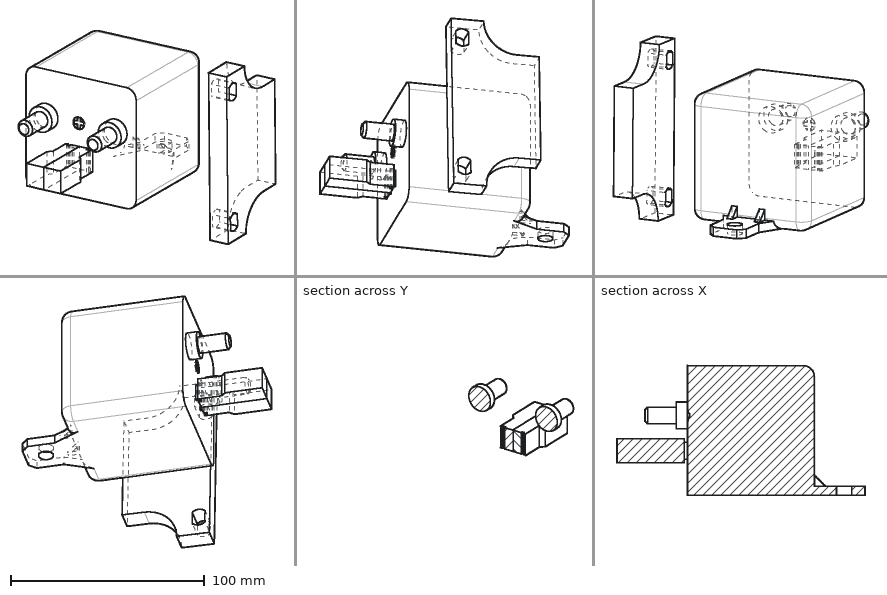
import cadquery as cq
import math


housing_width = 67.0
housing_depth = 65.6
housing_radius = 5.9

tab_reach = 26.1
tab_width = 20.6
tab_thickness = 4.7
tab_corner = 3.6
tab_straight_length = 18.0
tab_flare_width = 29.1
tab_hole_diameter = 7.7
tab_hole_inset = 10.9
rib_width = 3.1
rib_leg = 5.6
rib_offset = 8.0

terminal_offset = 21.0
terminal_height = 7.7
collar_diameter = 14.0
collar_length = 5.8
stud_diameter = 8.7
stud_reach = 21.9
stud_chamfer = 1.4

screw_offset = -1.5
screw_diameter = 6.7
screw_sink = 0.3
cross_width = 2.0
cross_depth = 0.8

blade_offset = 4.9
blade_thickness = 0.8
blade_height = 9.0
blade_length = 1.5
connector_level = -10.5
connector_height = 12.4
connector_length = 34.9
connector_half_width = tab_width / 2
connector_neck = 2.3
connector_wide_length = 19.7
notch_width = 1.4
notch_depth = 1.5

plate_thickness = 11.0
plate_inner_x = 71.3
plate_front_y = 10.8
plate_level = 0.8
plate_height = 93.2
plate_tilt = 0.9
ear_width = 17.4
plate_width = 46.7
slot_width = 6.8
slot_length = 9.6
slot_arch_rise = 1.5
slot_inset = 5.9
slot_end_margin = 5.5


def front_cylinder(x, z, diameter, y_back, length):
    """Cylinder that runs from y_back toward -Y."""
    plane = cq.Workplane("XZ", origin=(x, y_back, z))
    return plane.circle(diameter / 2).extrude(length)


def make_block():
    block = cq.Workplane("XY").box(housing_width, housing_depth, housing_width)
    block = block.edges("|Y or >Y").fillet(housing_radius)
    return block.translate((0, housing_depth / 2, 0))


def make_tab():
    """Flared tab, level with the underside, that runs in below the rounded back edge."""
    end_y = housing_depth + tab_reach
    flare_y = end_y - tab_straight_length
    root_y = housing_depth - housing_radius
    half = tab_width / 2
    flare_slope = (tab_flare_width / 2 - half) / (flare_y - housing_depth)
    root_half = half + flare_slope * (flare_y - root_y)
    tip_half = half - tab_corner
    right_side = [(root_half, root_y), (half, flare_y), (half, end_y - tab_corner), (tip_half, end_y)]
    left_side = [(-x, y) for x, y in reversed(right_side)]
    bottom = cq.Workplane("XY", origin=(0, 0, -housing_width / 2))
    tab = bottom.polyline(right_side + left_side).close().extrude(tab_thickness)
    hole = bottom.center(0, end_y - tab_hole_inset).circle(tab_hole_diameter / 2).extrude(tab_thickness)
    return tab.cut(hole)


def make_rib(x):
    """Triangular rib between the tab and the back wall, with its root inside the housing."""
    top = -housing_width / 2 + tab_thickness
    back = housing_depth
    inside = back - housing_radius
    outline = [(inside, top), (back + rib_leg, top), (back, top + rib_leg), (inside, top + rib_leg)]
    side = cq.Workplane("YZ", origin=(x - rib_width / 2, 0, 0))
    return side.polyline(outline).close().extrude(rib_width)


def make_terminal(x):
    collar = front_cylinder(x, terminal_height, collar_diameter, 0, collar_length)
    stud = front_cylinder(x, terminal_height, stud_diameter, 0, stud_reach)
    return collar.union(stud.faces("<Y").chamfer(stud_chamfer))


def make_blade(x):
    blade = cq.Workplane("XY").box(blade_thickness, blade_length, blade_height)
    return blade.translate((x, -blade_length / 2, connector_level))


def make_screw_recess():
    """Shallow round recess with a deeper cross bounded by the same circle."""
    def disc(depth):
        return front_cylinder(screw_offset, terminal_height, screw_diameter, depth, depth)

    depth = screw_sink + cross_depth
    upright = cq.Workplane("XY").box(cross_width, 2 * depth, screw_diameter)
    crossbar = cq.Workplane("XY").box(screw_diameter, 2 * depth, cross_width)
    cross = upright.union(crossbar).translate((screw_offset, 0, terminal_height))
    return disc(screw_sink).union(disc(depth).intersect(cross))


def make_housing():
    housing = make_block().union(make_tab())
    for side in (-1, 1):
        housing = housing.union(make_rib(side * rib_offset))
        housing = housing.union(make_terminal(side * terminal_offset))
        housing = housing.union(make_blade(side * blade_offset))
    return housing.cut(make_screw_recess())


def make_connector(side):
    """One of two mirrored connectors; side is -1 or 1 along X."""
    back_y = -blade_length
    front_y = back_y - connector_length
    wide_y = front_y + connector_wide_length
    neck_x = connector_half_width - connector_neck
    notch_inner_x = blade_offset + blade_thickness / 2
    notch_outer_x = notch_inner_x + notch_width
    notch_y = back_y - notch_depth
    outline = [
        (0, back_y),
        (notch_inner_x, back_y),
        (notch_inner_x, notch_y),
        (notch_outer_x, notch_y),
        (notch_outer_x, back_y),
        (neck_x, back_y),
        (neck_x, wide_y + connector_neck),
        (connector_half_width, wide_y),
        (connector_half_width, front_y),
        (0, front_y),
    ]
    plane = cq.Workplane("XY", origin=(0, 0, connector_level - connector_height / 2))
    points = [(side * x, y) for x, y in outline]
    return plane.polyline(points).close().extrude(connector_height)


def make_slot(plane, y, z):
    """Through slot with straight sides and shallow arched ends, centred on (y, z)."""
    half = slot_width / 2
    apex = slot_length / 2
    shoulder = apex - slot_arch_rise
    outline = plane.center(y, z).moveTo(-half, -shoulder).threePointArc((0, -apex), (half, -shoulder))
    outline = outline.lineTo(half, shoulder).threePointArc((0, apex), (-half, shoulder)).close()
    return outline.extrude(plate_thickness)


def make_plate():
    """Plate with a concave quarter round at each back corner, tilted about its front edge."""
    half = plate_height / 2
    shoulder = half - ear_width
    arc_end = 2 * ear_width
    arc_mid = ear_width * math.sqrt(0.5)
    plane = cq.Workplane("YZ")
    outline = plane.moveTo(0, -half).lineTo(0, half).lineTo(ear_width, half)
    outline = outline.threePointArc((arc_end - arc_mid, half - arc_mid), (arc_end, shoulder))
    outline = outline.lineTo(plate_width, shoulder).lineTo(plate_width, -shoulder).lineTo(arc_end, -shoulder)
    outline = outline.threePointArc((arc_end - arc_mid, arc_mid - half), (ear_width, -half)).close()
    plate = outline.extrude(plate_thickness)
    slot_z = half - slot_end_margin - slot_length / 2
    for z in (-slot_z, slot_z):
        plate = plate.cut(make_slot(plane, slot_inset, z))
    plate = plate.rotate((0, 0, 0), (1, 0, 0), plate_tilt)
    return plate.translate((plate_inner_x, plate_front_y, plate_level))


housing = make_housing()
connectors = [make_connector(side) for side in (-1, 1)]
side_plate = make_plate()

result = cq.Compound.makeCompound(
    [housing.val(), *[connector.val() for connector in connectors], side_plate.val()]
)